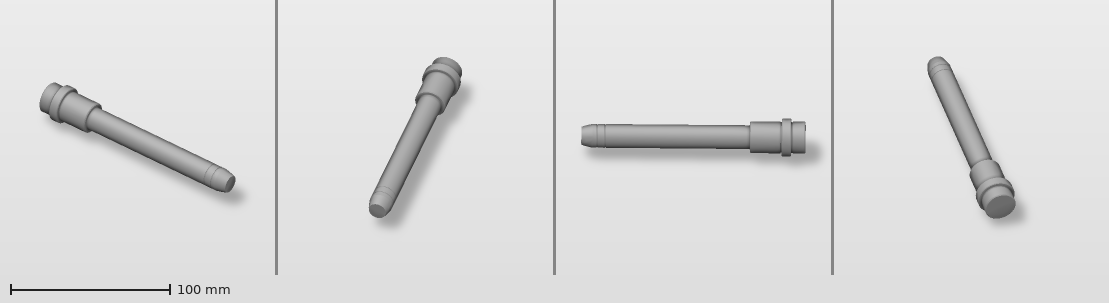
import cadquery as cq

total_length = 141.0
shaft_diameter = 15.0
head_diameter = 20.0
collar_diameter = 24.0
head_end = 35.0
collar_start = 9.0
collar_width = 5.9
collar_end = collar_start + collar_width

head_chamfer = 0.5
collar_chamfer = 0.4
root_fillet = 0.4

relief_depth = 0.4
front_relief_width = 1.1
rear_relief_width = 0.8

ring_groove_starts = (125.5, 130.5)
ring_groove_width = 0.8
ring_groove_depth = 0.4

tip_length = 7.0
tip_diameter = 11.3
tip_bulge = 0.21


def cylinder(start, length, diameter):
    """Solid cylinder along X."""
    return cq.Workplane("YZ").workplane(offset=start).circle(diameter / 2).extrude(length)


def ring_cutter(start, width, diameter, depth):
    """Ring with an arc-shaped cross-section that cuts a round-bottomed groove."""
    radius = diameter / 2
    return (
        cq.Workplane("XY")
        .moveTo(start, radius)
        .threePointArc((start + width / 2, radius - depth), (start + width, radius))
        .close()
        .revolve(360, (0, 0, 0), (1, 0, 0))
    )


def make_head():
    head = cylinder(0, head_end, head_diameter).edges().chamfer(head_chamfer)
    front_relief_start = collar_start - front_relief_width
    head = head.cut(ring_cutter(front_relief_start, front_relief_width, head_diameter, relief_depth))
    return head.cut(ring_cutter(collar_end, rear_relief_width, head_diameter, relief_depth))


def make_collar():
    return cylinder(collar_start, collar_width, collar_diameter).edges().chamfer(collar_chamfer)


def make_shaft():
    """Shaft with a root fillet at the head and a slightly bulging taper at the tip."""
    shaft_radius = shaft_diameter / 2
    tip_start = total_length - tip_length
    return (
        cq.Workplane("XY")
        .moveTo(collar_end, 0)
        .lineTo(collar_end, shaft_radius + root_fillet)
        .lineTo(head_end, shaft_radius + root_fillet)
        .radiusArc((head_end + root_fillet, shaft_radius), -root_fillet)
        .lineTo(tip_start, shaft_radius)
        .sagittaArc((total_length, tip_diameter / 2), tip_bulge)
        .lineTo(total_length, 0)
        .close()
        .revolve(360, (0, 0, 0), (1, 0, 0))
    )


result = make_head().union(make_collar()).union(make_shaft())
for groove_start in ring_groove_starts:
    result = result.cut(ring_cutter(groove_start, ring_groove_width, shaft_diameter, ring_groove_depth))